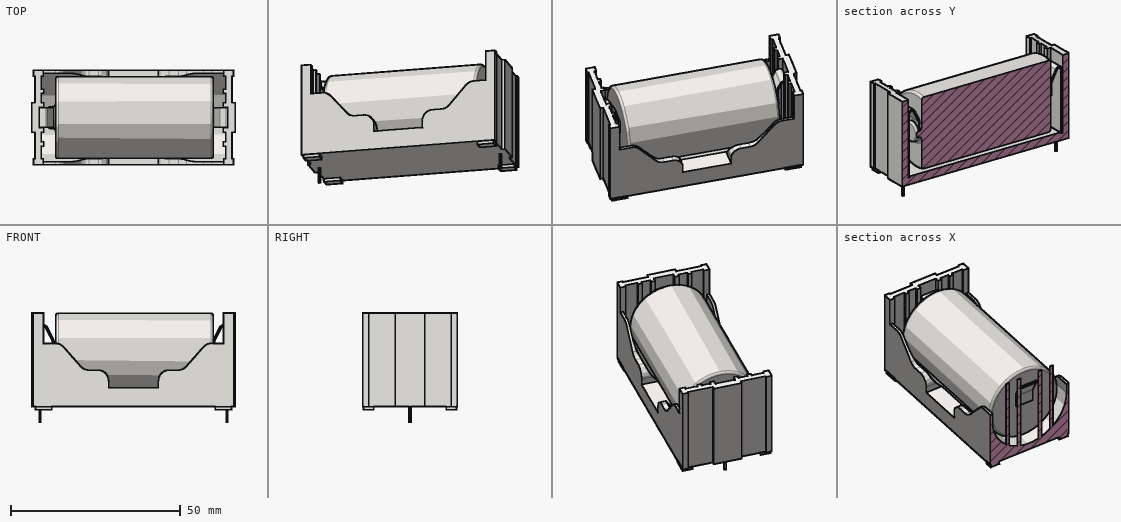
import cadquery as cq
import math

LENGTH = 60.2
WIDTH = 27.94
BODY_HEIGHT = 27.69

BAND_X = LENGTH / 2
CORNER_X = 29.54
PANEL_X = 29.13
SLOT_X = 27.86
INNER_X = 27.3
POST_INNER_X = 26.7
RIB_X = 26.54

BAND_Y = 4.38
POST_Y = 12.17
SLOT_Y = 3.08
RIB_INNER_Y = 7.17
RIB_OUTER_Y = 8.41

AXIS_Z = 15.5
BATTERY_RADIUS = 12.1
BATTERY_LEFT_X = -23.02
BATTERY_RIGHT_X = 23.58
BATTERY_FILLET = 0.75
NUB_RADIUS = 3.25
NUB_LENGTH = 2.1
NUB_END_FILLET = 0.6
NUB_BASE_FILLET = 0.8
TROUGH_RADIUS = 13.06
TROUGH_FLOOR_Z = AXIS_Z - TROUGH_RADIUS

SHOULDER_Z = 18.7
SHOULDER_X = 21.6
LEDGE_Z = 10.8
LEDGE_X = 14.64
SLOPE_FILLET = 3.2
NOTCH_Z = 5.55
NOTCH_X = 7.38
NOTCH_RADIUS = 3.1

FOOT_LENGTH = 4.9
FOOT_WIDTH = 3.1
FOOT_HEIGHT = 0.95
FOOT_CENTER_X = 26.55
FOOT_CENTER_Y = 12.2

SPRING_THICKNESS = 0.5
SPRING_WIDTH = 5.8
SPRING_TOP_Z = 24.15
SPRING_BEND_RADIUS = 1.27
SPRING_TIP_X = 23.56
SPRING_TIP_FILLET = 0.8
SPRING_ARM_ANGLE = 63
SPRING_ARM_END_Z = AXIS_Z
PIN_WIDTH = 0.6
PIN_LENGTH = 4.57


def block(x_min, x_max, y_min, y_max, z_min, z_max):
    size = (x_max - x_min, y_max - y_min, z_max - z_min)
    return cq.Workplane("XY").box(*size, centered=False).translate((x_min, y_min, z_min))


def x_cylinder(radius, x_min, x_max):
    return cq.Workplane("YZ", origin=(x_min, 0, AXIS_Z)).circle(radius).extrude(x_max - x_min)


def both_ends(shape):
    """Join a shape with its mirror image at the other end of the part."""
    return shape.union(shape.mirror("YZ"))


def make_blank():
    blank = block(-PANEL_X, PANEL_X, -WIDTH / 2, WIDTH / 2, 0, BODY_HEIGHT)
    blank = blank.union(block(-BAND_X, BAND_X, -BAND_Y, BAND_Y, 0, BODY_HEIGHT))
    for y_min, y_max in ((-WIDTH / 2, -POST_Y), (POST_Y, WIDTH / 2)):
        blank = blank.union(block(-CORNER_X, CORNER_X, y_min, y_max, 0, BODY_HEIGHT))
    return blank


def make_trough():
    """Round-bottomed, straight-sided space, narrower where it runs between the corner posts."""
    above = block(-INNER_X, INNER_X, -TROUGH_RADIUS, TROUGH_RADIUS, AXIS_Z, BODY_HEIGHT)
    space = x_cylinder(TROUGH_RADIUS, -INNER_X, INNER_X).union(above)
    middle = block(-POST_INNER_X, POST_INNER_X, -WIDTH / 2, WIDTH / 2, 0, BODY_HEIGHT)
    between_posts = block(-INNER_X, INNER_X, -POST_Y, POST_Y, 0, BODY_HEIGHT)
    return space.intersect(middle.union(between_posts))


def make_side_opening():
    """Shouldered opening with a finger notch, cut across the full width."""
    sloped = (
        cq.Workplane("XZ")
        .moveTo(-POST_INNER_X, BODY_HEIGHT)
        .lineTo(-POST_INNER_X, SHOULDER_Z)
        .lineTo(-SHOULDER_X, SHOULDER_Z)
        .lineTo(-LEDGE_X, LEDGE_Z)
        .lineTo(LEDGE_X, LEDGE_Z)
        .lineTo(SHOULDER_X, SHOULDER_Z)
        .lineTo(POST_INNER_X, SHOULDER_Z)
        .lineTo(POST_INNER_X, BODY_HEIGHT)
        .close()
        .extrude(WIDTH / 2, both=True)
    )
    for corner_x, corner_z in ((SHOULDER_X, SHOULDER_Z), (LEDGE_X, LEDGE_Z)):
        for side in (-1, 1):
            corner = cq.selectors.NearestToPointSelector((side * corner_x, 0, corner_z))
            sloped = sloped.edges("|Y").edges(corner).fillet(SLOPE_FILLET)

    mouth_x = NOTCH_X + NOTCH_RADIUS
    notch = (
        cq.Workplane("XZ")
        .moveTo(-mouth_x, LEDGE_Z)
        .radiusArc((-NOTCH_X, LEDGE_Z - NOTCH_RADIUS), NOTCH_RADIUS)
        .lineTo(-NOTCH_X, NOTCH_Z)
        .lineTo(NOTCH_X, NOTCH_Z)
        .lineTo(NOTCH_X, LEDGE_Z - NOTCH_RADIUS)
        .radiusArc((mouth_x, LEDGE_Z), NOTCH_RADIUS)
        .close()
        .extrude(WIDTH / 2, both=True)
    )
    return sloped.union(notch)


def make_ribs():
    """Upright ribs on the inner face of both end walls."""
    ribs = cq.Workplane("XY")
    for y_min, y_max in ((SLOT_Y, BAND_Y), (RIB_INNER_Y, RIB_OUTER_Y)):
        rib = block(-INNER_X, -RIB_X, y_min, y_max, TROUGH_FLOOR_Z, BODY_HEIGHT)
        ribs = ribs.union(rib).union(rib.mirror("XZ"))
    return both_ends(ribs)


def make_slots():
    """Spring slots in both end walls, open at the top and down to the trough floor."""
    return both_ends(block(-SLOT_X, -INNER_X, -SLOT_Y, SLOT_Y, TROUGH_FLOOR_Z, BODY_HEIGHT))


def make_feet():
    return (
        cq.Workplane("XY")
        .rarray(2 * FOOT_CENTER_X, 2 * FOOT_CENTER_Y, 2, 2)
        .rect(FOOT_LENGTH, FOOT_WIDTH)
        .extrude(-FOOT_HEIGHT)
    )


def make_battery():
    can = x_cylinder(BATTERY_RADIUS, BATTERY_LEFT_X, BATTERY_RIGHT_X).edges().fillet(BATTERY_FILLET)
    nub_end_x = BATTERY_LEFT_X - NUB_LENGTH
    nub = x_cylinder(NUB_RADIUS, nub_end_x, BATTERY_LEFT_X).faces("<X").edges().fillet(NUB_END_FILLET)
    base_edge = cq.selectors.BoxSelector(
        (BATTERY_LEFT_X - NUB_BASE_FILLET, -NUB_RADIUS, AXIS_Z - NUB_RADIUS),
        (BATTERY_LEFT_X + NUB_BASE_FILLET, NUB_RADIUS, AXIS_Z + NUB_RADIUS),
    )
    return can.union(nub).edges("%CIRCLE").edges(base_edge).fillet(NUB_BASE_FILLET)


def make_springs():
    """Hooked strips: up the slot, over the top, and down a sloped arm to the battery."""
    leg_inner_x = -SLOT_X + SPRING_THICKNESS
    bend_x = -SLOT_X + SPRING_BEND_RADIUS
    bend_z = SPRING_TOP_Z - SPRING_BEND_RADIUS
    arm_angle = math.radians(SPRING_ARM_ANGLE)
    normal_x = math.sin(arm_angle)
    normal_z = math.cos(arm_angle)
    inner_radius = SPRING_BEND_RADIUS - SPRING_THICKNESS

    def arm_start(radius):
        return (bend_x + radius * normal_x, bend_z + radius * normal_z)

    def arm_end(radius, x):
        start_x, start_z = arm_start(radius)
        return (x, start_z - (x - start_x) * math.tan(arm_angle))

    outer_tip = arm_end(SPRING_BEND_RADIUS, -SPRING_TIP_X)
    inner_tip = arm_end(inner_radius, -SPRING_TIP_X - SPRING_THICKNESS)
    strip = (
        cq.Workplane("XZ")
        .moveTo(-SLOT_X, 0)
        .lineTo(-SLOT_X, bend_z)
        .threePointArc((bend_x, SPRING_TOP_Z), arm_start(SPRING_BEND_RADIUS))
        .lineTo(*outer_tip)
        .lineTo(-SPRING_TIP_X, SPRING_ARM_END_Z)
        .lineTo(-SPRING_TIP_X - SPRING_THICKNESS, SPRING_ARM_END_Z)
        .lineTo(*inner_tip)
        .lineTo(*arm_start(inner_radius))
        .threePointArc((bend_x, bend_z + inner_radius), (leg_inner_x, bend_z))
        .lineTo(leg_inner_x, 0)
        .close()
        .extrude(SPRING_WIDTH / 2, both=True)
    )
    for tip_x, tip_z in (outer_tip, inner_tip):
        corner = cq.selectors.NearestToPointSelector((tip_x, 0, tip_z))
        strip = strip.edges("|Y").edges(corner).fillet(SPRING_TIP_FILLET)
    pin = block(-SLOT_X, leg_inner_x, -PIN_WIDTH / 2, PIN_WIDTH / 2, -PIN_LENGTH, 0)
    return both_ends(strip.union(pin))


holder = make_blank().cut(make_trough()).cut(make_side_opening())
holder = holder.union(make_ribs()).cut(make_slots()).union(make_feet())
result = holder.union(make_springs()).union(make_battery())